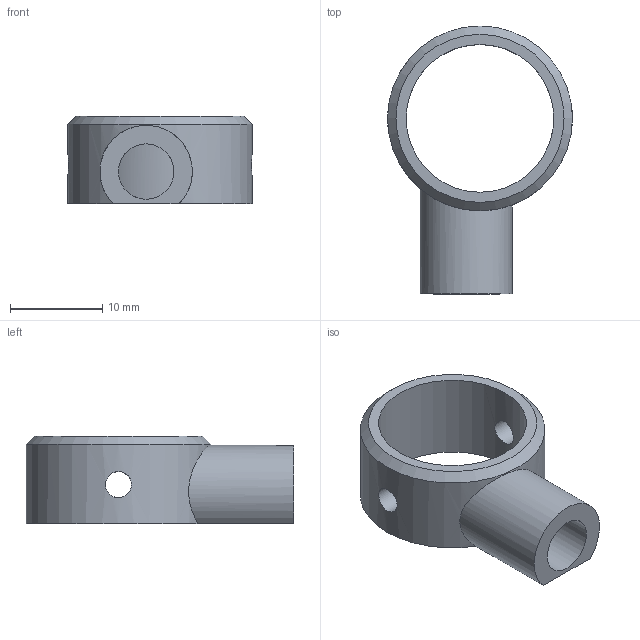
import cadquery as cq

ring_diameter = 20.0
bore_diameter = 16.0
ring_height = 9.5
rim_chamfer = 0.9

socket_diameter = 10.0
socket_bore_diameter = 6.0
socket_x = -1.5
socket_z = 3.5
socket_end_y = -19.0

pin_diameter = 2.8
pin_z = 4.25


def socket_cylinder(diameter):
    """Cylinder along the socket axis, from the open end to the ring axis plane."""
    return (
        cq.Workplane("XZ", origin=(socket_x, socket_end_y, socket_z))
        .circle(diameter / 2)
        .extrude(socket_end_y)
    )


def make_ring():
    """Outer body of the ring, still solid, with its top rim chamfered."""
    return (
        cq.Workplane("XY")
        .circle(ring_diameter / 2)
        .extrude(ring_height)
        .faces(">Z")
        .edges()
        .chamfer(rim_chamfer)
    )


def make_socket():
    """Socket tube, trimmed flush with the base of the ring and open right through."""
    base_trim = (
        cq.Workplane("XY")
        .box(ring_diameter, -2 * socket_end_y, socket_diameter, centered=(True, True, False))
        .translate((socket_x, 0, -socket_diameter))
    )
    tube = socket_cylinder(socket_diameter).cut(socket_cylinder(socket_bore_diameter))
    return tube.cut(base_trim)


def make_ring_bore():
    """Through bore of the ring."""
    return cq.Workplane("XY").circle(bore_diameter / 2).extrude(ring_height)


def make_pin_hole():
    """Cross hole through the full width of the ring."""
    return (
        cq.Workplane("YZ")
        .center(0, pin_z)
        .circle(pin_diameter / 2)
        .extrude(ring_diameter / 2, both=True)
    )


result = (
    make_ring()
    .union(make_socket())
    .cut(make_ring_bore())
    .cut(make_pin_hole())
)